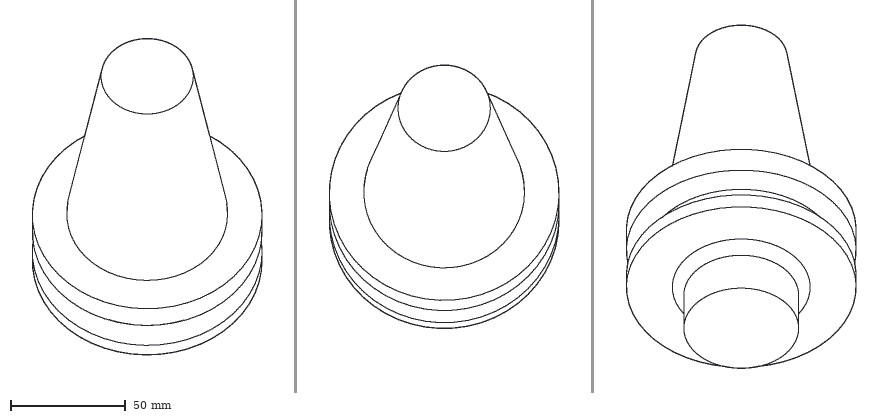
import cadquery as cq
import math

GAUGE_DIAMETER = 69.85
TAPER_LENGTH = 101.8
TAPER_RATE = 7 / 24

FLANGE_DIAMETER = 100.0
NECK_LENGTH = 3.0
FLANGE_THICKNESS = 35.0

GROOVE_DIAMETER = 85.0
GROOVE_CENTER_DEPTH = 23.2
GROOVE_FLOOR_WIDTH = 6.4
GROOVE_WALL_ANGLE = 30.0

NOSE_DIAMETER = 50.0
NOSE_LENGTH = 25.0
SHOULDER_DIAMETER = 60.0
SHOULDER_ANGLE = 45.0


def make_shank():
    """Tapered shank plus the straight neck down to the flange."""
    gauge_radius = GAUGE_DIAMETER / 2
    tip_radius = (GAUGE_DIAMETER - TAPER_LENGTH * TAPER_RATE) / 2
    profile = (
        cq.Workplane("XZ")
        .moveTo(0, -NECK_LENGTH)
        .lineTo(gauge_radius, -NECK_LENGTH)
        .lineTo(gauge_radius, 0)
        .lineTo(tip_radius, TAPER_LENGTH)
        .lineTo(0, TAPER_LENGTH)
        .close()
    )
    return profile.revolve(360, (0, 0), (0, 1))


def make_flange():
    """Plain flange disc, before the groove is cut."""
    return (
        cq.Workplane("XY")
        .workplane(offset=-NECK_LENGTH)
        .circle(FLANGE_DIAMETER / 2)
        .extrude(-FLANGE_THICKNESS)
    )


def make_groove():
    """Ring with a flat floor and sloped walls, to be cut from the flange."""
    floor_radius = GROOVE_DIAMETER / 2
    rim_radius = FLANGE_DIAMETER / 2
    half_floor = GROOVE_FLOOR_WIDTH / 2
    wall_rise = (rim_radius - floor_radius) * math.tan(math.radians(GROOVE_WALL_ANGLE))
    half_mouth = half_floor + wall_rise
    profile = (
        cq.Workplane("XZ")
        .moveTo(floor_radius, -GROOVE_CENTER_DEPTH - half_floor)
        .lineTo(rim_radius, -GROOVE_CENTER_DEPTH - half_mouth)
        .lineTo(rim_radius, -GROOVE_CENTER_DEPTH + half_mouth)
        .lineTo(floor_radius, -GROOVE_CENTER_DEPTH + half_floor)
        .close()
    )
    return profile.revolve(360, (0, 0), (0, 1))


def make_nose():
    """Conical shoulder under the flange, leading into the cylindrical nose."""
    nose_radius = NOSE_DIAMETER / 2
    shoulder_radius = SHOULDER_DIAMETER / 2
    flange_bottom = -NECK_LENGTH - FLANGE_THICKNESS
    shoulder_height = (shoulder_radius - nose_radius) * math.tan(math.radians(SHOULDER_ANGLE))
    nose_bottom = flange_bottom - NOSE_LENGTH
    profile = (
        cq.Workplane("XZ")
        .moveTo(0, flange_bottom)
        .lineTo(shoulder_radius, flange_bottom)
        .lineTo(nose_radius, flange_bottom - shoulder_height)
        .lineTo(nose_radius, nose_bottom)
        .lineTo(0, nose_bottom)
        .close()
    )
    return profile.revolve(360, (0, 0), (0, 1))


grooved_flange = make_flange().cut(make_groove())
result = make_shank().union(grooved_flange).union(make_nose())